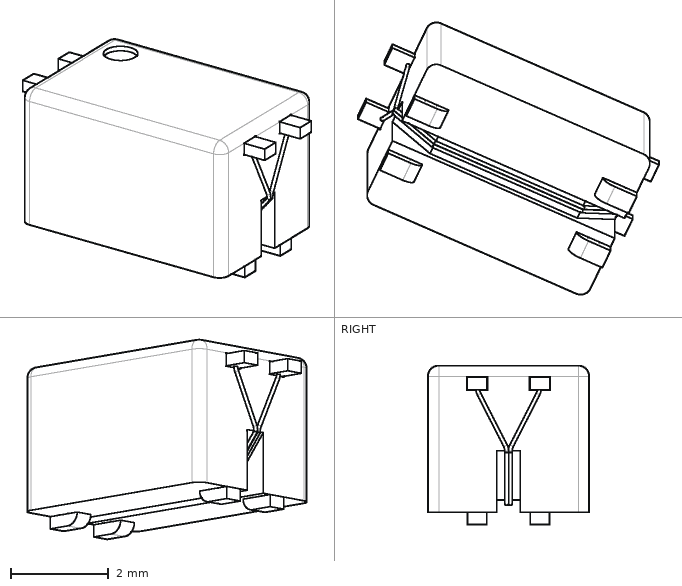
import cadquery as cq
import math

housing_length = 5.005
housing_width = 3.3
housing_height = 3.0
edge_radius = 0.22
housing_end = housing_length / 2

dot_diameter = 0.7
dot_depth = 0.1
dot_x = -1.8
dot_y = 0.95

slot_width = 0.475
slot_roof_middle = 0.25
slot_roof_end = 1.26
roof_slope_degrees = 50.0
slope_rise = slot_roof_end - slot_roof_middle
slope_run = slope_rise / math.tan(math.radians(roof_slope_degrees))

overall_length = 6.0
terminal_width = 0.4
terminal_thickness = 0.25
terminal_y = 0.64
pin_top = 2.76
pin_bottom = pin_top - terminal_thickness
pin_clearance = 0.01
upright_inset = 0.25
foot_length = 0.77
foot_toe_radius = 0.265
pin_tip = overall_length / 2
upright_outside = housing_end - upright_inset
upright_inside = upright_outside - terminal_thickness

wire_diameter = 0.08
wire_pair_offset = 0.0385
wire_pin_y = 0.63
wire_end_gap = 0.01
wire_below_roof = 0.07
wire_bend_radius = 0.24
wire_upper_bend_z = 2.47
wire_lower_bend_z = 1.315
wire_slope_top_z = 1.235
wire_joint_z = 1.255
wire_x = housing_end + wire_end_gap + wire_diameter / 2

END_SIDES = (-1, 1)
WIDTH_SIDES = (-1, 1)


def box_between(x_range, y_range, z_range):
    """Axis-aligned block between two limits on each axis."""
    lengths = [high - low for low, high in (x_range, y_range, z_range)]
    corner = (x_range[0], y_range[0], z_range[0])
    return cq.Workplane("XY").box(*lengths, centered=False).translate(corner)


def place_terminal_shape(shape, end_side, width_side):
    """Carry a shape made for the +X, +Y terminal to one of the four terminals."""
    if end_side < 0:
        shape = shape.mirror("YZ")
    if width_side < 0:
        shape = shape.mirror("XZ")
    return shape


def make_terminal():
    """The +X, +Y terminal."""
    toe_x = housing_end - foot_length
    toe_angle = math.acos(1 - terminal_thickness / foot_toe_radius)
    toe_base_x = toe_x + foot_toe_radius * math.sin(toe_angle)
    toe_middle = (
        toe_base_x - foot_toe_radius * math.sin(toe_angle / 2),
        foot_toe_radius * (1 - math.cos(toe_angle / 2)) - terminal_thickness,
    )
    outline = (
        cq.Workplane("XZ", origin=(0, terminal_y + terminal_width / 2, 0))
        .moveTo(housing_end, 0)
        .lineTo(upright_outside, 0)
        .lineTo(upright_outside, pin_bottom)
        .lineTo(pin_tip, pin_bottom)
        .lineTo(pin_tip, pin_top)
        .lineTo(upright_inside, pin_top)
        .lineTo(upright_inside, 0)
        .lineTo(toe_x, 0)
        .threePointArc(toe_middle, (toe_base_x, -terminal_thickness))
        .lineTo(housing_end, -terminal_thickness)
        .close()
    )
    return outline.extrude(terminal_width)


def make_pin_opening():
    """Opening in the housing end, slightly larger than the +X, +Y pin."""
    half_opening = terminal_width / 2 + pin_clearance
    return box_between(
        (upright_outside, housing_end),
        (terminal_y - half_opening, terminal_y + half_opening),
        (pin_bottom - pin_clearance, pin_top + pin_clearance),
    )


def sweep_wire(path, start, bend_style):
    """Round wire along a path that starts out vertical."""
    profile = cq.Workplane("XY", origin=start).circle(wire_diameter / 2)
    return profile.sweep(cq.Workplane(path), transition=bend_style)


def make_wire_lead():
    """Wire from the +X, +Y pin down the housing end, with two smooth bends."""
    start = (wire_x, wire_pin_y, (pin_bottom + pin_top) / 2)
    corners = cq.Wire.makePolygon([
        cq.Vector(start),
        cq.Vector(wire_x, wire_pin_y, wire_upper_bend_z),
        cq.Vector(wire_x, wire_pair_offset, wire_lower_bend_z),
        cq.Vector(wire_x, wire_pair_offset, wire_joint_z),
    ])
    path = corners.fillet(wire_bend_radius, corners.Vertices()[1:-1])
    return sweep_wire(path, start, "transformed")


def make_slot_wire():
    """The +Y wire through the slot, following the roof with sharp bends."""
    slot_z = slot_roof_middle - wire_below_roof
    slope_drop = wire_slope_top_z - slot_z
    slot_bend_x = wire_x - slope_drop / math.tan(math.radians(roof_slope_degrees))
    half_path = [(wire_x, wire_joint_z), (wire_x, wire_slope_top_z), (slot_bend_x, slot_z)]
    left_half = [cq.Vector(-x, wire_pair_offset, z) for x, z in half_path]
    right_half = [cq.Vector(x, wire_pair_offset, z) for x, z in reversed(half_path)]
    path = cq.Wire.makePolygon(left_half + right_half)
    return sweep_wire(path, left_half[0].toTuple(), "right")


def make_slot():
    """Underside slot whose roof is flat in the middle and slopes up to each end."""
    slope_start = housing_end - slope_run
    return (
        cq.Workplane("XZ", origin=(0, slot_width / 2, 0))
        .polyline([
            (-housing_end, 0),
            (-housing_end, slot_roof_end),
            (-slope_start, slot_roof_middle),
            (slope_start, slot_roof_middle),
            (housing_end, slot_roof_end),
            (housing_end, 0),
        ])
        .close()
        .extrude(slot_width)
    )


def make_housing():
    """Rounded block with the dot, the slot and the recesses that hold the terminals."""
    body = (
        cq.Workplane("XY")
        .box(housing_length, housing_width, housing_height, centered=(True, True, False))
        .edges("|Z or >Z")
        .fillet(edge_radius)
    )
    dot = (
        cq.Workplane("XY", origin=(dot_x, dot_y, housing_height - dot_depth))
        .circle(dot_diameter / 2)
        .extrude(dot_depth)
    )
    body = body.cut(dot).cut(make_slot())
    for end_side in END_SIDES:
        for width_side in WIDTH_SIDES:
            body = body.cut(place_terminal_shape(make_terminal(), end_side, width_side))
            body = body.cut(place_terminal_shape(make_pin_opening(), end_side, width_side))
    return body


def make_winding():
    """The four terminals and the two wires that join them, as one solid."""
    end_parts = make_wire_lead().union(make_terminal())
    half_winding = make_slot_wire().union(end_parts).union(end_parts.mirror("YZ"))
    return half_winding.union(half_winding.mirror("XZ"))


housing = make_housing().solids()
winding = make_winding().solids()
result = cq.Compound.makeCompound([housing.val(), winding.val()])